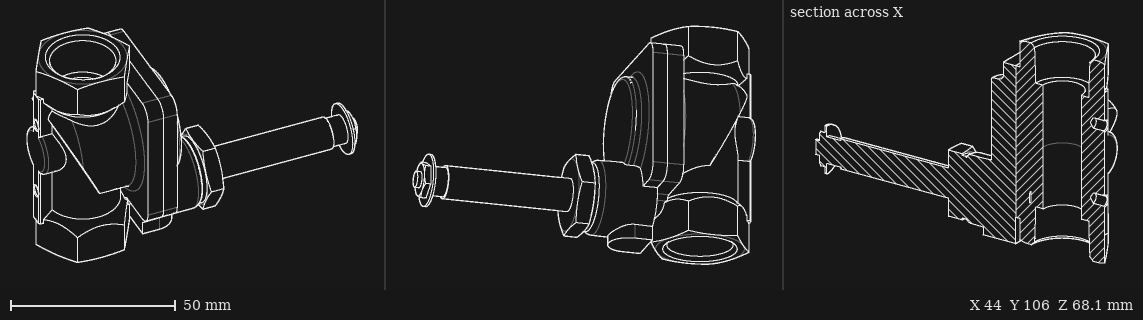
import cadquery as cq
import math

pipe_half_length = 33.5
pipe_diameter = 23.1
through_hole_diameter = 14.0
hex_flats = 27.0
hex_cone_start = 19.4
hex_chamfer_angle = 15
hex_turn = 30

bore_mouth_diameter = 22.7
bore_top_diameter = 20.1
bore_bottom_diameter = 19.4
bore_depth = 12.9

chamber_z = 2.5
chamber_diameter = 35.0
chamber_front_y = -12.7
chamber_front_fillet = 5.2
chamber_root_fillet = 2.0
cut_angle = math.degrees(math.atan(0.5))
cut_centre_y = -4.9

stub_width = 9.8
stub_axis_z = -21.0

flange_size = 44.0
flange_corner_radius = 4.3
flange_front_y = 11.9
seam_y = 17.1
cover_back_y = 21.6

front_y = -hex_flats / math.sqrt(3)
front_boss_diameter = 14.9
front_boss_fillet = 1.0
rail_width = 5.0
rail_half_length = 23.6
rail_chamfer_width = 0.6
rail_chamfer_depth = 0.4
rail_hole_diameter = 3.3
rail_hole_depth = 4.2
rail_hole_chamfer = 0.3
rail_hole_spacing = 24.9
drill_point_angle = 118

ring_diameter = 32.1
ring_back_y = 26.1
ring_edge_fillet = 1.0
ring_root_fillet = 1.8

pilot_z = -20.5
boss_seam_diameter = 23.4
boss_end_diameter = 22.9
boss_end_y = 35.2
boss_end_fillet = 1.8
lug_width = 12.9
lug_centre_y = 22.6
lug_bottom_z = -34.6
collar_diameter = 21.0
nut_front_y = 36.7
nut_back_y = 41.8
nut_flats = 22.0
tube_diameter = 10.2
tube_end_y = 81.3
neck_diameter = 9.0
washer_front_y = 86.3
washer_back_y = 87.0
washer_diameter = 16.0
top_nut_flats = 10.0
top_nut_chamfer_angle = 30
top_nut_back_y = 89.0
tip_diameter = 5.0
overall_length = 106
tip_y = overall_length + front_y


def cylinder_y(diameter, start_y, end_y, z):
    """Cylinder along Y at height z."""
    return cq.Workplane("XZ", origin=(0, start_y, z)).circle(diameter / 2).extrude(start_y - end_y)


def square_plate(start_y, end_y):
    """Plate with the flange outline between two Y positions."""
    plate = cq.Workplane("XZ", origin=(0, start_y, chamber_z)).rect(flange_size, flange_size)
    return plate.extrude(start_y - end_y).edges("|Y").fillet(flange_corner_radius)


def root_flare(diameter, fillet, plate_y, side):
    """Disc with a concave rim that fillets a round of this diameter into a plate on side +1 or -1."""
    radius = diameter / 2
    arc_middle = fillet * (1 - math.sqrt(0.5))
    return (
        cq.Workplane("XY", origin=(0, plate_y, chamber_z))
        .moveTo(0, 0)
        .lineTo(radius + fillet, 0)
        .threePointArc((radius + arc_middle, side * arc_middle), (radius, side * fillet))
        .lineTo(0, side * fillet)
        .close()
        .revolve(360, (0, 0, 0), (0, 1, 0))
    )


def hex_chamfer_depth(flats, angle):
    """Height of a conical chamfer that runs from the flats out to the corners."""
    corner_radius = flats / math.sqrt(3)
    return (corner_radius - flats / 2) * math.tan(math.radians(angle))


def hexagon_nut(flats, start_y, end_y, turn, chamfer_angle, chamfer_start):
    """Nut along Y on the pilot axis; turn 0 puts two corners on X."""
    corner_radius = flats / math.sqrt(3)
    face_radius = flats / 2
    chamfer = hex_chamfer_depth(flats, chamfer_angle)
    length = end_y - start_y
    prism = cq.Workplane("XY").polygon(6, 2 * corner_radius).extrude(length)
    outline = cq.Workplane("XZ").moveTo(0, 0)
    if chamfer_start:
        outline = outline.lineTo(face_radius, 0).lineTo(corner_radius, chamfer)
    else:
        outline = outline.lineTo(corner_radius, 0)
    outline = outline.lineTo(corner_radius, length - chamfer).lineTo(face_radius, length)
    limit = outline.lineTo(0, length).close().revolve(360, (0, 0, 0), (0, 1, 0))
    nut = prism.intersect(limit).rotate((0, 0, 0), (0, 0, 1), turn)
    return nut.rotate((0, 0, 0), (1, 0, 0), -90).translate((0, start_y, pilot_z))


def pipe_hexagon():
    """Upper hexagon of the pipe, with a flat chamfer on top and a 45 degree cone below."""
    corner_radius = hex_flats / math.sqrt(3)
    pipe_radius = pipe_diameter / 2
    prism = cq.Workplane("XY").polygon(6, 2 * corner_radius).extrude(pipe_half_length)
    prism = prism.rotate((0, 0, 0), (0, 0, 1), hex_turn)
    limit = (
        cq.Workplane("XZ")
        .moveTo(0, hex_cone_start)
        .lineTo(pipe_radius, hex_cone_start)
        .lineTo(corner_radius, hex_cone_start + corner_radius - pipe_radius)
        .lineTo(corner_radius, pipe_half_length - hex_chamfer_depth(hex_flats, hex_chamfer_angle))
        .lineTo(hex_flats / 2, pipe_half_length)
        .lineTo(0, pipe_half_length)
        .close()
        .revolve(360, (0, 0, 0), (0, 1, 0))
    )
    return prism.intersect(limit)


def thread_bore():
    """Tapered bore with a 45 degree mouth, for the upper pipe end."""
    mouth_depth = (bore_mouth_diameter - bore_top_diameter) / 2
    bottom_z = pipe_half_length - bore_depth
    return (
        cq.Workplane("XZ")
        .moveTo(0, bottom_z)
        .lineTo(bore_bottom_diameter / 2, bottom_z)
        .lineTo(bore_top_diameter / 2, pipe_half_length - mouth_depth)
        .lineTo(bore_mouth_diameter / 2, pipe_half_length)
        .lineTo(0, pipe_half_length)
        .close()
        .revolve(360, (0, 0, 0), (0, 1, 0))
    )


def chamber():
    """Round chamber with its flange, rounded at the front and cut away on a slope."""
    drum = cylinder_y(chamber_diameter, chamber_front_y, flange_front_y, chamber_z)
    drum = drum.faces("<Y").edges().fillet(chamber_front_fillet)
    drum = drum.union(square_plate(flange_front_y, seam_y))
    drum = drum.union(root_flare(chamber_diameter, chamber_root_fillet, flange_front_y, -1))
    cutter_size = 2 * flange_size
    cutter = (
        cq.Workplane("XY")
        .box(cutter_size, cutter_size, cutter_size)
        .translate((0, -cutter_size / 2, 0))
        .rotate((0, 0, 0), (1, 0, 0), cut_angle)
        .translate((0, cut_centre_y, 0))
    )
    return drum.cut(cutter)


def front_boss():
    boss = cylinder_y(front_boss_diameter, front_y, 0, chamber_z)
    return boss.faces("<Y").edges().fillet(front_boss_fillet)


def rail():
    """Narrow rail along the pipe front with its two long edges bevelled."""
    half_width = rail_width / 2
    bevel_y = front_y + rail_chamfer_depth
    flat_half_width = half_width - rail_chamfer_width
    return (
        cq.Workplane("XY", origin=(0, 0, -rail_half_length))
        .polyline([
            (-half_width, 0),
            (-half_width, bevel_y),
            (-flat_half_width, front_y),
            (flat_half_width, front_y),
            (half_width, bevel_y),
            (half_width, 0),
        ])
        .close()
        .extrude(2 * rail_half_length)
    )


def rail_hole(z):
    """Blind drilled hole with a chamfered mouth and a pointed end."""
    radius = rail_hole_diameter / 2
    point = radius / math.tan(math.radians(drill_point_angle / 2))
    return (
        cq.Workplane("XY", origin=(0, front_y, z))
        .polyline([
            (0, 0),
            (radius + rail_hole_chamfer, 0),
            (radius, rail_hole_chamfer),
            (radius, rail_hole_depth),
            (0, rail_hole_depth + point),
        ])
        .close()
        .revolve(360, (0, 0, 0), (0, 1, 0))
    )


def pilot_stub():
    """Round-bottomed stub below the flange, filleted into the flange's lower side."""
    flange_bottom_z = chamber_z - flange_size / 2
    radius = stub_width / 2
    fillet = flange_bottom_z - stub_axis_z
    arc_middle = fillet * (1 - math.sqrt(0.5))
    return (
        cq.Workplane("XZ", origin=(0, seam_y, 0))
        .moveTo(-radius - fillet, flange_bottom_z)
        .threePointArc((-radius - arc_middle, flange_bottom_z - arc_middle), (-radius, stub_axis_z))
        .threePointArc((0, stub_axis_z - radius), (radius, stub_axis_z))
        .threePointArc(
            (radius + arc_middle, flange_bottom_z - arc_middle),
            (radius + fillet, flange_bottom_z),
        )
        .close()
        .extrude(seam_y - flange_front_y)
    )


def make_valve_body():
    hexagon = pipe_hexagon()
    bore = thread_bore()
    body = cq.Workplane("XY").circle(pipe_diameter / 2).extrude(hex_cone_start, both=True)
    body = body.union(chamber()).union(pilot_stub())
    body = body.union(hexagon).union(hexagon.mirror("XY"))
    body = body.union(front_boss()).union(rail())
    body = body.cut(bore).cut(bore.mirror("XY"))
    through_hole = cq.Workplane("XY").circle(through_hole_diameter / 2)
    body = body.cut(through_hole.extrude(pipe_half_length, both=True))
    for side in (-1, 1):
        body = body.cut(rail_hole(side * rail_hole_spacing / 2))
    return body


def cover_ring():
    """Raised round on the cover plate, with a rounded rim and a filleted root."""
    ring = cylinder_y(ring_diameter, seam_y, ring_back_y, chamber_z)
    ring = ring.faces(">Y").edges().fillet(ring_edge_fillet)
    return ring.union(root_flare(ring_diameter, ring_root_fillet, cover_back_y, 1))


def pilot_boss():
    """Slightly tapered boss with a rounded end and a round-ended lug below it."""
    boss = (
        cq.Workplane("XZ", origin=(0, seam_y, pilot_z))
        .circle(boss_seam_diameter / 2)
        .workplane(offset=seam_y - boss_end_y)
        .circle(boss_end_diameter / 2)
        .loft()
    )
    boss = boss.faces(">Y").edges().fillet(boss_end_fillet)
    lug_height = pilot_z - lug_bottom_z
    lug = (
        cq.Workplane("XY", origin=(0, 0, lug_bottom_z))
        .moveTo(-lug_width / 2, seam_y)
        .lineTo(lug_width / 2, seam_y)
        .lineTo(lug_width / 2, lug_centre_y)
        .threePointArc((0, lug_centre_y + lug_width / 2), (-lug_width / 2, lug_centre_y))
        .close()
        .extrude(lug_height)
    )
    return boss.union(lug)


def armature_tube():
    """Collar, nut, tube, neck, washer, top nut and tip in one stack."""
    stack = cylinder_y(collar_diameter, boss_end_y, nut_front_y, pilot_z)
    large_nut = hexagon_nut(nut_flats, nut_front_y, nut_back_y, 0, hex_chamfer_angle, True)
    top_nut = hexagon_nut(
        top_nut_flats, washer_back_y, top_nut_back_y, hex_turn, top_nut_chamfer_angle, False
    )
    stack = stack.union(large_nut)
    stack = stack.union(cylinder_y(tube_diameter, nut_back_y, tube_end_y, pilot_z))
    stack = stack.union(cylinder_y(neck_diameter, tube_end_y, washer_front_y, pilot_z))
    stack = stack.union(cylinder_y(washer_diameter, washer_front_y, washer_back_y, pilot_z))
    stack = stack.union(top_nut)
    return stack.union(cylinder_y(tip_diameter, top_nut_back_y, tip_y, pilot_z))


def make_cover_assembly():
    cover = square_plate(seam_y, cover_back_y).union(cover_ring())
    return cover.union(pilot_boss()).union(armature_tube())


valve_body = make_valve_body()
cover_assembly = make_cover_assembly()

result = cq.Compound.makeCompound([valve_body.val(), cover_assembly.val()])